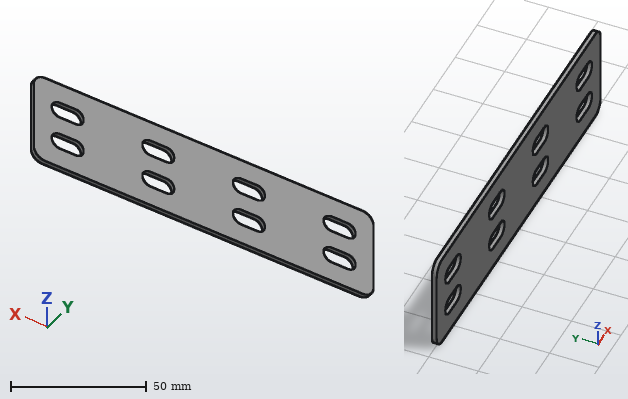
import cadquery as cq

plate_length = 150.0
plate_thickness = 2.0
plate_height = 40.0
corner_radius = 5.0

slot_length = 14.0
slot_width = 7.0
slot_columns = 4
slot_rows = 2
column_pitch = 40.0
row_pitch = 15.0


def make_plate():
    """Flat plate centred on the origin, with its four corners rounded."""
    plate = cq.Workplane("XY").box(plate_length, plate_thickness, plate_height)
    return plate.edges("|Y").fillet(corner_radius)


def make_slots():
    """Grid of round-ended slots passing through the plate thickness."""
    return (
        cq.Workplane("XZ")
        .rarray(column_pitch, row_pitch, slot_columns, slot_rows)
        .slot2D(slot_length, slot_width)
        .extrude(plate_thickness, both=True)
    )


result = make_plate().cut(make_slots())